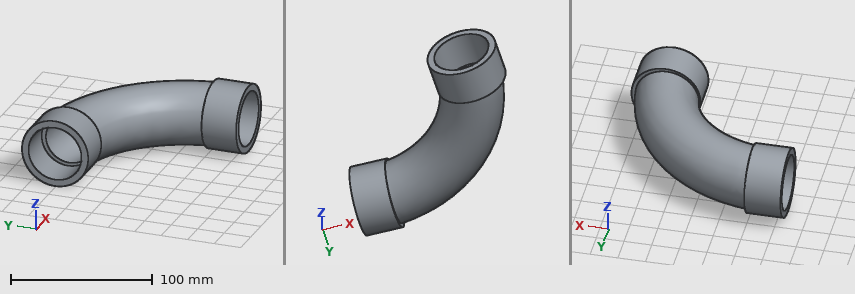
import cadquery as cq

overall_length = 131.0
collar_diameter = 50.0
collar_length = 26.2
socket_diameter = 40.0
pipe_outer_diameter = 45.5
pipe_bore_diameter = 35.0
bend_start = 13.8

axis_distance = overall_length - collar_diameter / 2
bend_radius = axis_distance - bend_start


def end_cylinders(diameter):
    """Cylinders as long as the end collars: one along X, one along Y."""
    along_x = (
        cq.Workplane("YZ")
        .center(axis_distance, 0)
        .circle(diameter / 2)
        .extrude(collar_length)
    )
    along_y = (
        cq.Workplane("XZ")
        .center(axis_distance, 0)
        .circle(diameter / 2)
        .extrude(-collar_length)
    )
    return along_x.union(along_y)


def quarter_bend(diameter):
    """Quarter torus joining the collars, starting on their axes."""
    return (
        cq.Workplane("YZ", origin=(bend_start, bend_start, 0))
        .center(bend_radius, 0)
        .circle(diameter / 2)
        .revolve(90, (-bend_radius, 0), (-bend_radius, -1))
    )


body = end_cylinders(collar_diameter).union(quarter_bend(pipe_outer_diameter))

result = body.cut(end_cylinders(socket_diameter)).cut(quarter_bend(pipe_bore_diameter))